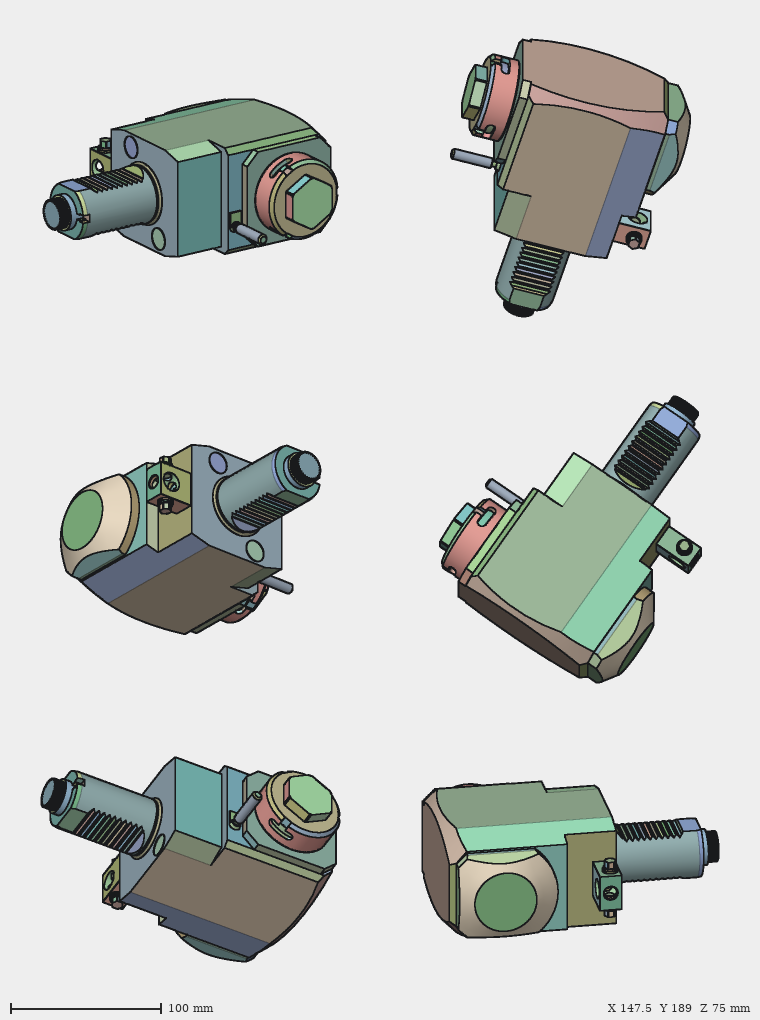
import cadquery as cq
import math


HALF_HEIGHT = 37.5
BACK_Y = 114.0
SHOULDER_Y = 35.0
BASE_HALF_WIDTH = 39.0
HEAD_LEFT = -49.0
HEAD_RIGHT = 47.25
TAPER_START = 24.0
TAPER_SLOPE = math.tan(math.radians(15))
EDGE_CHAMFER = 4.0
BACK_ARC_RADIUS = 125.0
BACK_ARC_X = 9.6
SPINDLE_Y = 80.0

RECESS_RADIUS = 7.5
RECESS_DEPTH = 0.5
RECESS_X = 16.0
RECESS_Z = 27.7

CAP_LEFT = -67.0
CAP_TIP_RADIUS = 21.0
CAP_RADIUS = 37.5
CAP_CONE_END = -55.8
CAP_BACK_Y = 110.0
CAP_HALF_HEIGHT = 29.5
CAP_TAPER_START = -51.8
CAP_CORNER_CHAMFER = 7.0

PLATE_RIGHT = 53.0
PLATE_FRONT_Y = 46.5
PLATE_HALF_HEIGHT = 33.5
PLATE_CORNER_CHAMFER = 8.7
NUT_RADIUS = 27.8
NUT_RIGHT = 72.5
NUT_CHAMFER = 2.4
NUT_GAP = 0.6
NUT_GAP_DEPTH = 0.8
NUT_SLOT_COUNT = 3
NUT_SLOT_FIRST_ANGLE = 30.0
NUT_SLOT_X = 62.9
NUT_SLOT_WIDTH = 5.7
NUT_SLOT_LENGTH = 19.2
NUT_SLOT_DEPTH = 3.5
NUT_CHANNEL_WIDTH = 5.6
NUT_CHANNEL_DEPTH = 2.7
HEX_ACROSS_FLATS = 32.0
HEX_CORNER_DIAMETER = 36.3
HEX_CHAMFER = 0.5
RIGHT_END = 80.5

PIN_Y = 40.4
PIN_Z = -17.6
PIN_RADIUS = 3.5
PIN_TIP_CHAMFER = 1.2
PIN_HEAD_RADIUS = 4.1
PIN_HEAD_TIP_RADIUS = 3.0
PIN_HEAD_END = 49.7
PIN_NECK_RADIUS = 2.0
PIN_BODY_START = 52.8
PIN_BODY_CHAMFER = 0.4
PIN_TAB_THICKNESS = 1.3
PIN_TAB_TOP = -7.3

BLOCK_LEFT = -65.0
BLOCK_FRONT_Y = 1.0
BLOCK_BACK_Y = 16.0
BLOCK_HALF_HEIGHT = 12.25
BLOCK_CHAMFER = 0.2
PORT_X = -55.8
PORT_RADIUS = 6.7
SIDE_PORT_Y = 8.6
SIDE_PORT_RADIUS = 4.4
SIDE_PORT_COUNTERSINK = 0.5
SIDE_PORT_END = -47.0
PILOT_RADIUS = 1.3
PILOT_DEPTH = 5.0
CROSS_BORE_RADIUS = 4.2
CROSS_BORE_REACH = 7.5
SCREW_Y = 7.3
SCREW_FLANGE_RADIUS = 5.2
SCREW_FLANGE_HEIGHT = 1.4
SCREW_SHOULDER_RADIUS = 4.7
SCREW_SHOULDER_HEIGHT = 1.4
SCREW_HEX_ACROSS_FLATS = 7.0
SCREW_HEX_CORNER_DIAMETER = 7.7
SCREW_TOP = 19.75

COLLAR_RADIUS = 21.5
COLLAR_LENGTH = 2.2
UNDERCUT_END = 3.5
UNDERCUT_DEPTH = 0.5
SHANK_RADIUS = 20.0
SHANK_LENGTH = 63.0
SHANK_CHAMFER_LENGTH = 3.0
SHANK_CHAMFER_DEPTH = 0.6
FLAT_Z = 17.0
FLAT_START = 50.6
RACK_START = 5.2
RACK_CREST_Z = 15.8
RACK_ROOT_Z = 14.3
RACK_PITCH = 4.0
RACK_TEETH = 10
RACK_FIRST_ROOT = 11.8
KEYWAY_WIDTH = 5.3
KEYWAY_DEPTH = 5.0
KEYWAY_FLOOR_X = 15.2
KEYWAY_INNER_WIDTH = 4.0

BOSS_RADIUS = 12.1
BOSS_END = 67.7
SPLINE_RADIUS = 10.3
SPLINE_ROOT_RADIUS = 9.2
SPLINE_TEETH = 32
SPLINE_GROOVE_FLARE = 0.6
SPLINE_END = 75.0
SPLINE_CHAMFER = 0.5


def box(x0, x1, y0, y1, z0, z1):
    """Axis-aligned box between two opposite corners."""
    return cq.Workplane("XY").box(x1 - x0, y1 - y0, z1 - z0, centered=False).translate((x0, y0, z0))


def rod_x(radius, x0, x1, y, z):
    """Cylinder along X."""
    return cq.Workplane("YZ", origin=(x0, y, z)).circle(radius).extrude(x1 - x0)


def rod_y(radius, y0, y1, x, z):
    """Cylinder along Y."""
    return cq.Workplane("XZ", origin=(x, y1, z)).circle(radius).extrude(y1 - y0)


def mirrored(shape):
    """A shape together with its mirror image across Z = 0."""
    return shape.union(shape.mirror("XY"))


def prism_y(points, y0, y1):
    """Outline in X and Z, given for Z >= 0 and mirrored, extruded along Y."""
    lower = [(x, -z) for x, z in reversed(points)]
    return cq.Workplane("XZ", origin=(0, y1, 0)).polyline(points + lower).close().extrude(y1 - y0)


def taper_z(x):
    """Half height of the housing at distance x beyond the start of its 15 degree taper."""
    return HALF_HEIGHT - (abs(x) - TAPER_START) * TAPER_SLOPE


def back_cone(side):
    """Wide 45 degree cone that bevels the arched back edge on the given side (+1 top, -1 bottom)."""
    reach = BACK_ARC_RADIUS + BACK_Y - EDGE_CHAMFER
    axis_z = side * (HALF_HEIGHT - BACK_ARC_RADIUS)
    tip_radius = BACK_ARC_RADIUS - EDGE_CHAMFER
    return (
        cq.Workplane("XY")
        .polyline([(0, 0), (reach, 0), (tip_radius, BACK_Y), (0, BACK_Y)])
        .close()
        .revolve(360, (0, 0, 0), (0, 1, 0))
        .translate((BACK_ARC_X, 0, axis_z))
    )


def make_housing():
    base = prism_y(
        [
            (-BASE_HALF_WIDTH, taper_z(BASE_HALF_WIDTH)),
            (-TAPER_START, HALF_HEIGHT),
            (TAPER_START, HALF_HEIGHT),
            (BASE_HALF_WIDTH, taper_z(BASE_HALF_WIDTH)),
        ],
        0,
        SHOULDER_Y,
    )
    head = prism_y(
        [
            (HEAD_LEFT, taper_z(HEAD_LEFT)),
            (-TAPER_START, HALF_HEIGHT),
            (HEAD_RIGHT - EDGE_CHAMFER, HALF_HEIGHT),
            (HEAD_RIGHT, HALF_HEIGHT - EDGE_CHAMFER),
        ],
        SHOULDER_Y,
        BACK_Y,
    )
    head = head.faces("<X").edges(">Y").chamfer(EDGE_CHAMFER)
    for side in (1, -1):
        head = head.intersect(back_cone(side))
    housing = base.union(head)
    for side in (1, -1):
        housing = housing.cut(rod_y(RECESS_RADIUS, 0, RECESS_DEPTH, -side * RECESS_X, side * RECESS_Z))
    return housing


def make_cap():
    turned = (
        cq.Workplane("XY")
        .polyline(
            [
                (CAP_LEFT, 0),
                (CAP_LEFT, CAP_TIP_RADIUS),
                (CAP_CONE_END, CAP_RADIUS),
                (HEAD_LEFT, CAP_RADIUS),
                (HEAD_LEFT, 0),
            ]
        )
        .close()
        .revolve(360, (0, 0, 0), (1, 0, 0))
        .translate((0, SPINDLE_Y, 0))
    )
    tip_z = CAP_HALF_HEIGHT - (CAP_TAPER_START - CAP_LEFT) * TAPER_SLOPE
    wedge = prism_y(
        [
            (CAP_LEFT, tip_z),
            (CAP_TAPER_START, CAP_HALF_HEIGHT),
            (HEAD_LEFT, CAP_HALF_HEIGHT),
        ],
        SPINDLE_Y - CAP_RADIUS,
        CAP_BACK_Y,
    )
    corners = box(
        CAP_LEFT, HEAD_LEFT, SPINDLE_Y - CAP_RADIUS, CAP_BACK_Y, -CAP_HALF_HEIGHT, CAP_HALF_HEIGHT
    )
    corners = corners.faces(">Y").edges("|X").chamfer(CAP_CORNER_CHAMFER)
    return turned.intersect(wedge).intersect(corners)


def make_plate():
    plate = box(HEAD_RIGHT, PLATE_RIGHT, PLATE_FRONT_Y, BACK_Y, -PLATE_HALF_HEIGHT, PLATE_HALF_HEIGHT)
    return plate.edges("|X").chamfer(PLATE_CORNER_CHAMFER)


def nut_slot():
    """Hook slot with a curved floor on the +Z side of the nut, open to the right through a channel."""
    floor_radius = NUT_RADIUS - NUT_SLOT_DEPTH
    pocket = (
        cq.Workplane("XY", origin=(NUT_SLOT_X, 0, 0))
        .slot2D(NUT_SLOT_LENGTH, NUT_SLOT_WIDTH, 90)
        .extrude(NUT_RADIUS)
        .cut(rod_x(floor_radius, PLATE_RIGHT, NUT_RIGHT, 0, 0))
    )
    half = NUT_CHANNEL_WIDTH / 2
    channel = box(NUT_SLOT_X, NUT_RIGHT, -half, half, NUT_RADIUS - NUT_CHANNEL_DEPTH, NUT_RADIUS)
    return pocket.union(channel)


def make_nut():
    nut = rod_x(NUT_RADIUS, PLATE_RIGHT, NUT_RIGHT, 0, 0).faces(">X").chamfer(NUT_CHAMFER)
    neck = rod_x(NUT_RADIUS - NUT_GAP_DEPTH, PLATE_RIGHT, PLATE_RIGHT + NUT_GAP, 0, 0)
    nut = nut.cut(rod_x(NUT_RADIUS, PLATE_RIGHT, PLATE_RIGHT + NUT_GAP, 0, 0)).union(neck)
    step = 360 / NUT_SLOT_COUNT
    for i in range(NUT_SLOT_COUNT):
        nut = nut.cut(nut_slot().rotate((0, 0, 0), (1, 0, 0), NUT_SLOT_FIRST_ANGLE + i * step))
    hexagon = (
        cq.Workplane("YZ", origin=(NUT_RIGHT, 0, 0))
        .polygon(6, HEX_ACROSS_FLATS, circumscribed=True)
        .extrude(RIGHT_END - NUT_RIGHT)
    )
    corner_round = rod_x(HEX_CORNER_DIAMETER / 2, NUT_RIGHT, RIGHT_END, 0, 0).faces(">X").chamfer(HEX_CHAMFER)
    return nut.union(hexagon.intersect(corner_round)).translate((0, SPINDLE_Y, 0))


def make_pin():
    """Stop pin on a tapered head, with a thin tab standing up behind the head."""
    head = (
        cq.Workplane("YZ", origin=(HEAD_RIGHT, PIN_Y, PIN_Z))
        .circle(PIN_HEAD_RADIUS)
        .workplane(offset=PIN_HEAD_END - HEAD_RIGHT)
        .circle(PIN_HEAD_TIP_RADIUS)
        .loft()
    )
    neck = rod_x(PIN_NECK_RADIUS, HEAD_RIGHT, PIN_BODY_START, PIN_Y, PIN_Z)
    body = rod_x(PIN_RADIUS, PIN_BODY_START, RIGHT_END, PIN_Y, PIN_Z)
    body = body.faces(">X").chamfer(PIN_TIP_CHAMFER).faces("<X").chamfer(PIN_BODY_CHAMFER)
    tab = box(
        HEAD_RIGHT,
        HEAD_RIGHT + PIN_TAB_THICKNESS,
        PIN_Y - PIN_HEAD_RADIUS,
        PIN_Y + PIN_HEAD_RADIUS,
        PIN_Z,
        PIN_TAB_TOP,
    )
    return head.union(neck).union(body).union(tab)


def make_block():
    block = box(
        BLOCK_LEFT, -BASE_HALF_WIDTH, BLOCK_FRONT_Y, BLOCK_BACK_Y, -BLOCK_HALF_HEIGHT, BLOCK_HALF_HEIGHT
    )
    block = block.faces("<Y or >Y").edges("not >X").chamfer(BLOCK_CHAMFER)
    block = block.cut(rod_y(PORT_RADIUS, BLOCK_FRONT_Y, BLOCK_BACK_Y, PORT_X, 0))
    block = block.cut(rod_x(SIDE_PORT_RADIUS, BLOCK_LEFT, SIDE_PORT_END, SIDE_PORT_Y, 0))
    block = block.faces("<X").edges("%CIRCLE").chamfer(SIDE_PORT_COUNTERSINK)
    pilot_end = SIDE_PORT_END + PILOT_DEPTH
    block = block.cut(rod_x(PILOT_RADIUS, SIDE_PORT_END, pilot_end, SIDE_PORT_Y, 0))
    cross_bore = (
        cq.Workplane("XY", origin=(PORT_X, SCREW_Y, 0))
        .circle(CROSS_BORE_RADIUS)
        .extrude(CROSS_BORE_REACH, both=True)
    )
    return block.cut(cross_bore).union(mirrored(make_screw()))


def make_screw():
    """Screw head on top of the coolant block: a stepped flange under a hexagon with rounded corners."""
    flange = (
        cq.Workplane("XY", origin=(PORT_X, SCREW_Y, BLOCK_HALF_HEIGHT))
        .circle(SCREW_FLANGE_RADIUS)
        .extrude(SCREW_FLANGE_HEIGHT)
        .faces(">Z")
        .workplane()
        .circle(SCREW_SHOULDER_RADIUS)
        .extrude(SCREW_SHOULDER_HEIGHT)
    )
    head_base = BLOCK_HALF_HEIGHT + SCREW_FLANGE_HEIGHT + SCREW_SHOULDER_HEIGHT
    head_plane = cq.Workplane("XY", origin=(PORT_X, SCREW_Y, head_base))
    height = SCREW_TOP - head_base
    hexagon = head_plane.polygon(6, SCREW_HEX_ACROSS_FLATS, circumscribed=True).extrude(height)
    corner_round = head_plane.circle(SCREW_HEX_CORNER_DIAMETER / 2).extrude(height)
    return flange.union(hexagon.intersect(corner_round))


def rack_cut():
    """Material removed above the toothed rack and the plain flat on the +Z side of the shank."""
    top = SHANK_RADIUS
    depth = RACK_CREST_Z - RACK_ROOT_Z
    points = [(-RACK_START, top), (-RACK_START - top + RACK_CREST_Z, RACK_CREST_Z)]
    for i in range(RACK_TEETH):
        root = -RACK_FIRST_ROOT - i * RACK_PITCH
        points += [(root + depth, RACK_CREST_Z), (root, RACK_ROOT_Z), (root - depth, RACK_CREST_Z)]
    points += [
        (-FLAT_START + FLAT_Z - RACK_CREST_Z, RACK_CREST_Z),
        (-FLAT_START, FLAT_Z),
        (-SHANK_LENGTH, FLAT_Z),
        (-SHANK_LENGTH, top),
    ]
    return cq.Workplane("YZ", origin=(-SHANK_RADIUS, 0, 0)).polyline(points).close().extrude(2 * SHANK_RADIUS)


def make_shank():
    bead_radius = COLLAR_LENGTH / 2
    bead_center = COLLAR_RADIUS - bead_radius
    undercut_radius = SHANK_RADIUS - UNDERCUT_DEPTH
    shank = (
        cq.Workplane("XY")
        .lineTo(bead_center, 0)
        .threePointArc((COLLAR_RADIUS, -bead_radius), (bead_center, -COLLAR_LENGTH))
        .polyline(
            [
                (undercut_radius, -COLLAR_LENGTH),
                (undercut_radius, -UNDERCUT_END),
                (SHANK_RADIUS, -UNDERCUT_END),
                (SHANK_RADIUS, SHANK_CHAMFER_LENGTH - SHANK_LENGTH),
                (SHANK_RADIUS - SHANK_CHAMFER_DEPTH, -SHANK_LENGTH),
                (0, -SHANK_LENGTH),
            ],
            includeCurrent=True,
        )
        .close()
        .revolve(360, (0, 0, 0), (0, 1, 0))
    )
    shank = shank.cut(mirrored(rack_cut()))
    keyway_top = KEYWAY_DEPTH - SHANK_LENGTH
    for inner_x, width in ((KEYWAY_FLOOR_X, KEYWAY_WIDTH), (0, KEYWAY_INNER_WIDTH)):
        keyway = box(inner_x, SHANK_RADIUS, -SHANK_LENGTH, keyway_top, -width / 2, width / 2)
        shank = shank.cut(keyway)
    return shank


def make_spline():
    boss = rod_y(BOSS_RADIUS, -BOSS_END, KEYWAY_DEPTH - SHANK_LENGTH, 0, 0)
    spline = rod_y(SPLINE_RADIUS, -SPLINE_END, -BOSS_END, 0, 0).faces("<Y").chamfer(SPLINE_CHAMFER)
    pitch = 2 * math.pi * SPLINE_RADIUS / SPLINE_TEETH
    groove_half_width = pitch * SPLINE_GROOVE_FLARE
    groove_outer_radius = 2 * SPLINE_RADIUS - SPLINE_ROOT_RADIUS
    groove = (
        cq.Workplane("XZ", origin=(0, -BOSS_END, 0))
        .polyline(
            [
                (SPLINE_ROOT_RADIUS, 0),
                (groove_outer_radius, groove_half_width),
                (groove_outer_radius, -groove_half_width),
            ]
        )
        .close()
        .extrude(SPLINE_END - BOSS_END)
    )
    for i in range(SPLINE_TEETH):
        spline = spline.cut(groove.rotate((0, 0, 0), (0, 1, 0), i * 360 / SPLINE_TEETH))
    return boss.union(spline)


result = make_housing()
for piece in (make_cap(), make_plate(), make_nut(), make_pin(), make_block(), make_shank(), make_spline()):
    result = result.union(piece)